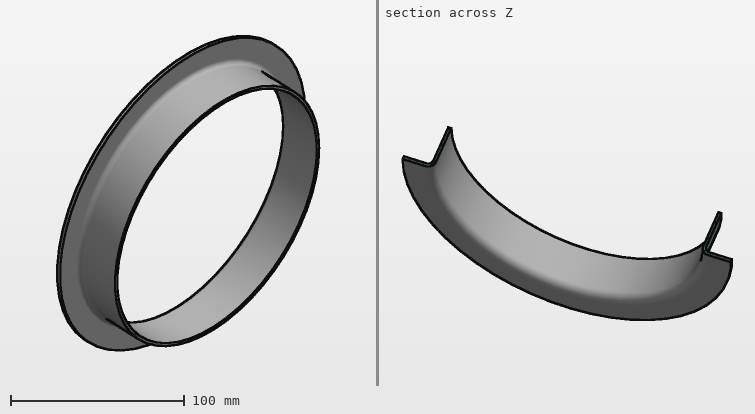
import cadquery as cq

flange_diameter = 202.0
collar_outer_diameter = 168.3
collar_inner_diameter = 164.2
ring_length = 30.0
flange_thickness = 2.5
mouth_radius = 5.0
root_radius = 3.0

flange_r = flange_diameter / 2
collar_outer_r = collar_outer_diameter / 2
collar_inner_r = collar_inner_diameter / 2

section = (
    cq.Workplane("XY")
    .moveTo(0, collar_inner_r + mouth_radius)
    .lineTo(0, flange_r)
    .lineTo(flange_thickness, flange_r)
    .lineTo(flange_thickness, collar_outer_r + root_radius)
    .radiusArc((flange_thickness + root_radius, collar_outer_r), -root_radius)
    .lineTo(ring_length, collar_outer_r)
    .lineTo(ring_length, collar_inner_r)
    .lineTo(mouth_radius, collar_inner_r)
    .radiusArc((0, collar_inner_r + mouth_radius), mouth_radius)
    .close()
)

result = section.revolve(360, (0, 0, 0), (1, 0, 0))